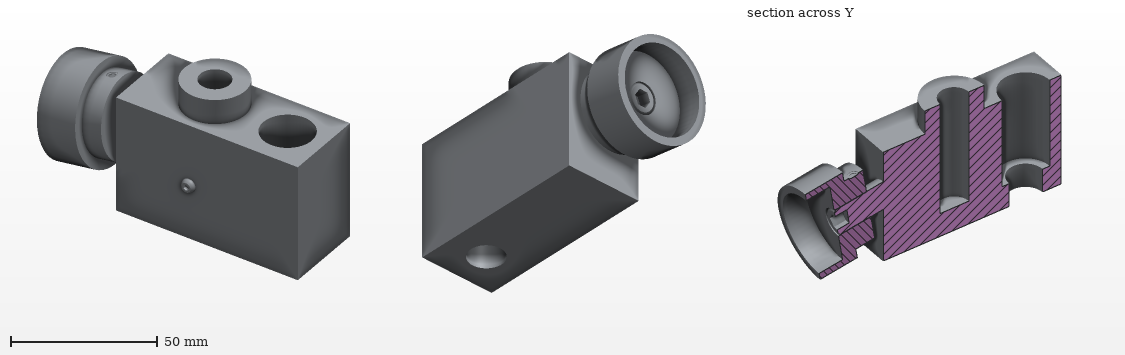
import cadquery as cq
import math

BLOCK_LENGTH = 75.0
BLOCK_WIDTH = 32.0
BLOCK_HEIGHT = 47.0

BOSS_X = 30.0
BOSS_DIAMETER = 25.0
BOSS_HEIGHT = 10.0
BOSS_BORE_DIAMETER = 12.0

STEPPED_HOLE_X = 60.0
STEPPED_HOLE_DIAMETER = 20.0
THROUGH_HOLE_DIAMETER = 14.0

BORE_FLOOR_THICKNESS = 10.0

CLAMP_SCREW_Z = 22.0
CLAMP_SCREW_DIAMETER = 5.6
CLAMP_SCREW_PROTRUSION = 1.75
CLAMP_DOME_CENTRE_DEPTH = 0.3
CLAMP_SOCKET_ACROSS_FLATS = 2.0
CLAMP_SOCKET_DEPTH = 1.5

KNOB_AXIS_Z = 28.25
KNOB_TILT = 9.0
KNOB_REACH = 30.0

CUP_DIAMETER = 40.0
CUP_LENGTH = 16.0
CUP_RECESS_DIAMETER = 34.0
CUP_RECESS_DEPTH = 10.0
COLLAR_DIAMETER = 32.0
COLLAR_LENGTH = 8.0

SHAFT_DIAMETER = 12.0
SHAFT_TIP_CHAMFER = 1.0
SHAFT_SOCKET_ACROSS_FLATS = 6.0
SHAFT_SOCKET_DEPTH = 5.0

SET_SCREW_HOLE_DIAMETER = 2.8
SET_SCREW_HOLE_DEPTH = 0.6
SET_SCREW_COUNTERBORE_DIAMETER = 4.2
SET_SCREW_COUNTERBORE_DEPTH = 0.3

CUP_RIM_X = -KNOB_REACH
CUP_FLOOR_X = CUP_RIM_X + CUP_RECESS_DEPTH
SHAFT_TIP_X = CUP_FLOOR_X
COLLAR_START_X = CUP_RIM_X + CUP_LENGTH
COLLAR_END_X = COLLAR_START_X + COLLAR_LENGTH
SET_SCREW_X = (COLLAR_START_X + COLLAR_END_X) / 2


def upright_cylinder(x, bottom_z, top_z, diameter):
    """Cylinder along Z, on the Y = 0 plane."""
    return cq.Workplane("XY", origin=(x, 0, bottom_z)).circle(diameter / 2).extrude(top_z - bottom_z)


def axial_cylinder(start_x, length, diameter):
    """Cylinder along X, on the X axis."""
    return cq.Workplane("YZ", origin=(start_x, 0, 0)).circle(diameter / 2).extrude(length)


def across_corners(across_flats):
    return across_flats / math.cos(math.radians(30))


def tilt_into_place(shape):
    """Move a shape built along the X axis onto the tilted knob axis."""
    return shape.rotate((0, 0, 0), (0, 1, 0), -KNOB_TILT).translate((0, 0, KNOB_AXIS_Z))


def clamp_screw_end():
    """Flat-topped dome with a hexagon socket, its corners pointing up and down."""
    face_y = -BLOCK_WIDTH / 2
    dome_centre_y = face_y + CLAMP_DOME_CENTRE_DEPTH
    cylinder = (
        cq.Workplane("XZ", origin=(BOSS_X, face_y, CLAMP_SCREW_Z))
        .circle(CLAMP_SCREW_DIAMETER / 2)
        .extrude(CLAMP_SCREW_PROTRUSION)
    )
    ball = cq.Workplane(origin=(BOSS_X, dome_centre_y, CLAMP_SCREW_Z)).sphere(CLAMP_SCREW_DIAMETER / 2)
    dome = cylinder.intersect(ball)
    socket = (
        cq.Workplane("XZ", origin=(BOSS_X, face_y - CLAMP_SCREW_PROTRUSION, CLAMP_SCREW_Z))
        .transformed(rotate=(0, 0, 90))
        .polygon(6, across_corners(CLAMP_SOCKET_ACROSS_FLATS))
        .extrude(-CLAMP_SOCKET_DEPTH)
    )
    return dome.cut(socket)


def make_shaft():
    """Tilted shaft with a socket in its tip, sunk into the block so that its end is inside."""
    sunk_length = SHAFT_DIAMETER / 2
    shaft = axial_cylinder(SHAFT_TIP_X, sunk_length - SHAFT_TIP_X, SHAFT_DIAMETER)
    shaft = shaft.faces("<X").edges().chamfer(SHAFT_TIP_CHAMFER)
    socket = (
        cq.Workplane("YZ", origin=(SHAFT_TIP_X, 0, 0))
        .polygon(6, across_corners(SHAFT_SOCKET_ACROSS_FLATS))
        .extrude(SHAFT_SOCKET_DEPTH)
    )
    return tilt_into_place(shaft.cut(socket))


def make_housing():
    """Block with its boss, holes, clamp screw end and knob shaft."""
    block = cq.Workplane("XY").box(
        BLOCK_LENGTH, BLOCK_WIDTH, BLOCK_HEIGHT, centered=(False, True, False)
    )
    boss_top_z = BLOCK_HEIGHT + BOSS_HEIGHT
    boss = upright_cylinder(BOSS_X, BLOCK_HEIGHT, boss_top_z, BOSS_DIAMETER)
    boss_bore = upright_cylinder(BOSS_X, BORE_FLOOR_THICKNESS, boss_top_z, BOSS_BORE_DIAMETER)
    wide_hole = upright_cylinder(STEPPED_HOLE_X, BORE_FLOOR_THICKNESS, BLOCK_HEIGHT, STEPPED_HOLE_DIAMETER)
    through_hole = upright_cylinder(STEPPED_HOLE_X, 0, BLOCK_HEIGHT, THROUGH_HOLE_DIAMETER)
    body = block.union(boss).cut(boss_bore).cut(wide_hole).cut(through_hole)
    return body.union(clamp_screw_end()).union(make_shaft())


def make_knob():
    """Cup and collar with a bore for the shaft and a set screw pocket, tilted into place."""
    cup = axial_cylinder(CUP_RIM_X, CUP_LENGTH, CUP_DIAMETER)
    recess = axial_cylinder(CUP_RIM_X, CUP_RECESS_DEPTH, CUP_RECESS_DIAMETER)
    collar = axial_cylinder(COLLAR_START_X, COLLAR_LENGTH, COLLAR_DIAMETER)
    shaft_bore = axial_cylinder(CUP_FLOOR_X, COLLAR_END_X - CUP_FLOOR_X, SHAFT_DIAMETER)

    collar_top_z = COLLAR_DIAMETER / 2
    hole_floor_z = collar_top_z - SET_SCREW_HOLE_DEPTH
    counterbore_z = collar_top_z - SET_SCREW_COUNTERBORE_DEPTH
    hole = upright_cylinder(SET_SCREW_X, hole_floor_z, collar_top_z, SET_SCREW_HOLE_DIAMETER)
    counterbore = upright_cylinder(
        SET_SCREW_X, counterbore_z, collar_top_z, SET_SCREW_COUNTERBORE_DIAMETER
    )

    knob = cup.cut(recess).union(collar).cut(shaft_bore).cut(hole).cut(counterbore)
    return tilt_into_place(knob)


housing = make_housing()
knob = make_knob()

result = cq.Compound.makeCompound([housing.val(), knob.val()])